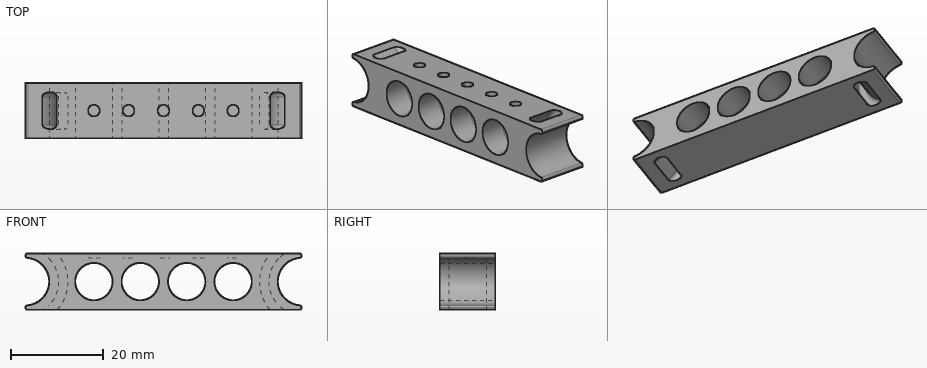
import cadquery as cq

LENGTH = 59.5
WIDTH = 12.0
HEIGHT = 12.2

LIP_THICKNESS = 1.0
SADDLE_RADIUS = HEIGHT / 2 - LIP_THICKNESS
LIP_FILLET = 0.499

CROSS_HOLE_DIAMETER = 8.0
CROSS_HOLE_PITCH = 10.0
CROSS_HOLE_COUNT = 4

TOP_HOLE_DIAMETER = 2.5
TOP_HOLE_DEPTH = 1.0
TOP_HOLE_PITCH = 7.5
TOP_HOLE_COUNT = 5

CHANNEL_WIDTH = 8.0
CHANNEL_THICKNESS = 2.0
CHANNEL_WALL = 2.0
CHANNEL_MEAN_RADIUS = SADDLE_RADIUS + CHANNEL_WALL + CHANNEL_THICKNESS / 2

END_SIDES = (-1, 1)
SADDLE_AXIS_X = LENGTH / 2


def row_positions(count, pitch):
    """Evenly spaced coordinates along X, centred on the origin."""
    return [((i - (count - 1) / 2) * pitch, 0) for i in range(count)]


def make_body():
    """Bar with a saddle cut into each end and rounded lips."""
    body = cq.Workplane("XY").box(LENGTH, WIDTH, HEIGHT)
    saddles = (
        cq.Workplane("XZ")
        .pushPoints([(side * SADDLE_AXIS_X, 0) for side in END_SIDES])
        .circle(SADDLE_RADIUS)
        .extrude(WIDTH, both=True)
    )
    return body.cut(saddles).faces("<X or >X").edges("|Y").fillet(LIP_FILLET)


def make_cross_holes():
    """Row of cylinders along Y."""
    return (
        cq.Workplane("XZ")
        .pushPoints(row_positions(CROSS_HOLE_COUNT, CROSS_HOLE_PITCH))
        .circle(CROSS_HOLE_DIAMETER / 2)
        .extrude(WIDTH, both=True)
    )


def make_top_holes():
    """Row of short cylinders reaching down from the top face."""
    return (
        cq.Workplane("XY", origin=(0, 0, HEIGHT / 2))
        .pushPoints(row_positions(TOP_HOLE_COUNT, TOP_HOLE_PITCH))
        .circle(TOP_HOLE_DIAMETER / 2)
        .extrude(-TOP_HOLE_DEPTH)
    )


def make_channel(side):
    """Ring around a saddle axis, with a round-ended slot as its section."""
    return (
        cq.Workplane("XY", origin=(side * SADDLE_AXIS_X, 0, 0))
        .center(CHANNEL_MEAN_RADIUS, 0)
        .slot2D(CHANNEL_WIDTH, CHANNEL_THICKNESS, 90)
        .revolve(360, (-CHANNEL_MEAN_RADIUS, 0), (-CHANNEL_MEAN_RADIUS, 1))
    )


result = make_body().cut(make_cross_holes()).cut(make_top_holes())
for end_side in END_SIDES:
    result = result.cut(make_channel(end_side))